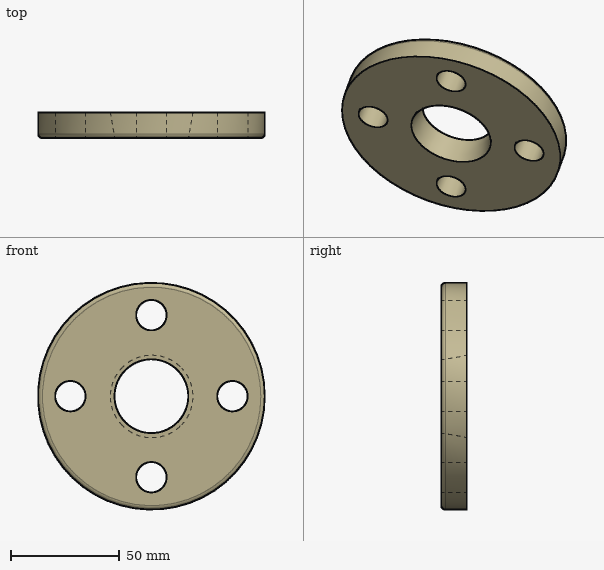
import cadquery as cq

outer_diameter = 105.0
thickness = 12.0
bore_front_diameter = 34.0
bore_back_diameter = 38.2
bolt_hole_diameter = 14.0
bolt_circle_diameter = 75.0
bolt_hole_count = 4
front_edge_radius = 2.0

back_plane = cq.Workplane("XZ", origin=(0, thickness / 2, 0))


def rounded_disc():
    """Solid disc centred on the origin, with its front rim rounded."""
    disc = back_plane.circle(outer_diameter / 2).extrude(thickness)
    return disc.faces("<Y").edges().fillet(front_edge_radius)


def tapered_bore():
    """Conical through bore that widens toward the back face."""
    return (
        back_plane.circle(bore_back_diameter / 2)
        .workplane(offset=thickness)
        .circle(bore_front_diameter / 2)
        .loft(ruled=True)
    )


def bolt_holes():
    """Evenly spaced straight through holes, the first one on the +X axis."""
    return (
        back_plane.polarArray(bolt_circle_diameter / 2, 0, 360, bolt_hole_count)
        .circle(bolt_hole_diameter / 2)
        .extrude(thickness)
    )


result = rounded_disc().cut(tapered_bore()).cut(bolt_holes())